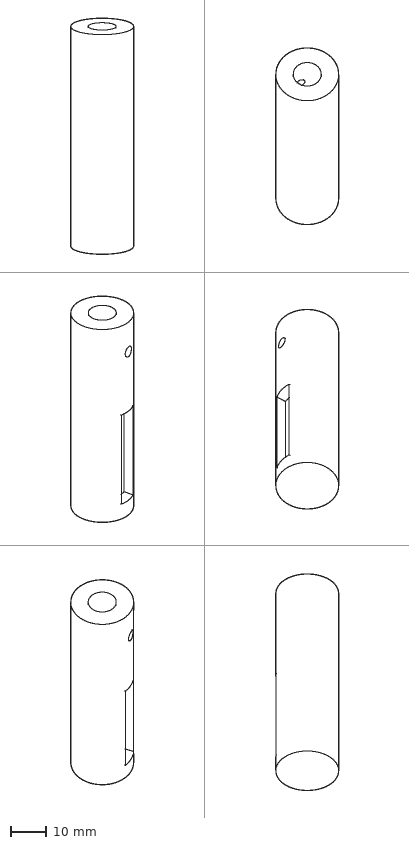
import cadquery as cq

body_diameter = 18.0
body_length = 65.0
bore_diameter = 8.0
bore_depth = 20.0
screw_hole_diameter = 3.24
keyway_width = 6.0
keyway_depth = 3.5
keyway_length = 30.0
keyway_bottom = 5.0

body_radius = body_diameter / 2
bore_floor = body_length - bore_depth
screw_hole_height = bore_floor + bore_depth / 2
keyway_floor = body_radius - keyway_depth


def make_body():
    """Round bar standing on the XY plane."""
    return cq.Workplane("XY").circle(body_radius).extrude(body_length)


def make_bore():
    """Blind flat-bottomed bore, open at the top end."""
    bore_base = cq.Workplane("XY", origin=(0, 0, bore_floor))
    return bore_base.circle(bore_diameter / 2).extrude(bore_depth)


def make_screw_hole():
    """Set-screw hole from the bore axis out through the +Y side, halfway down the bore."""
    hole_base = cq.Workplane("XZ", origin=(0, 0, screw_hole_height))
    return hole_base.circle(screw_hole_diameter / 2).extrude(-body_radius)


def make_keyway():
    """Square-ended keyway sunk into the +Y side."""
    keyway_base = cq.Workplane("XY", origin=(0, keyway_floor, keyway_bottom))
    return keyway_base.box(keyway_width, keyway_depth, keyway_length, centered=(True, False, False))


result = make_body().cut(make_bore()).cut(make_screw_hole()).cut(make_keyway())